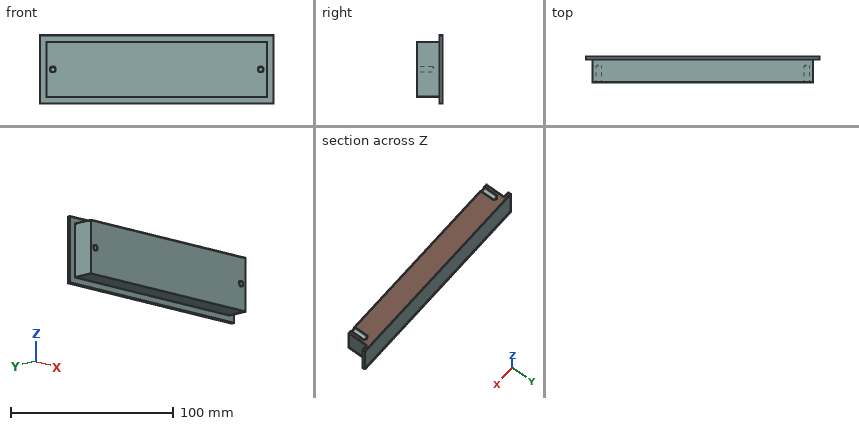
import cadquery as cq
import math

flange_length = 144.0
flange_height = 42.0
flange_thickness = 2.0

total_depth = 16.0
flange_margin = 4.0
block_length = flange_length - 2 * flange_margin
block_height = flange_height - 2 * flange_margin
block_depth = total_depth - flange_thickness

hole_diameter = 3.3
hole_radius = hole_diameter / 2
hole_spacing = 128.0
hole_depth = 10.1
drill_point_angle = 118.0
drill_point_depth = hole_radius / math.tan(math.radians(drill_point_angle / 2))


def centred_box(length, depth, height, front_y):
    """Box centred in X and Z that extends towards +Y from front_y."""
    box = cq.Workplane("XY").box(length, depth, height, centered=(True, False, True))
    return box.translate((0, front_y, 0))


def drilled_hole(x):
    """Cutter for one hole: a half profile revolved about an axis along Y."""
    half_profile = (
        cq.Workplane("XY")
        .lineTo(hole_radius, 0)
        .lineTo(hole_radius, hole_depth)
        .lineTo(0, hole_depth + drill_point_depth)
        .close()
    )
    return half_profile.revolve(360, (0, 0), (0, 1)).translate((x, 0, 0))


block = centred_box(block_length, block_depth, block_height, 0)
flange = centred_box(flange_length, flange_thickness, flange_height, block_depth)
result = block.union(flange)

for hole_x in (-hole_spacing / 2, hole_spacing / 2):
    result = result.cut(drilled_hole(hole_x))